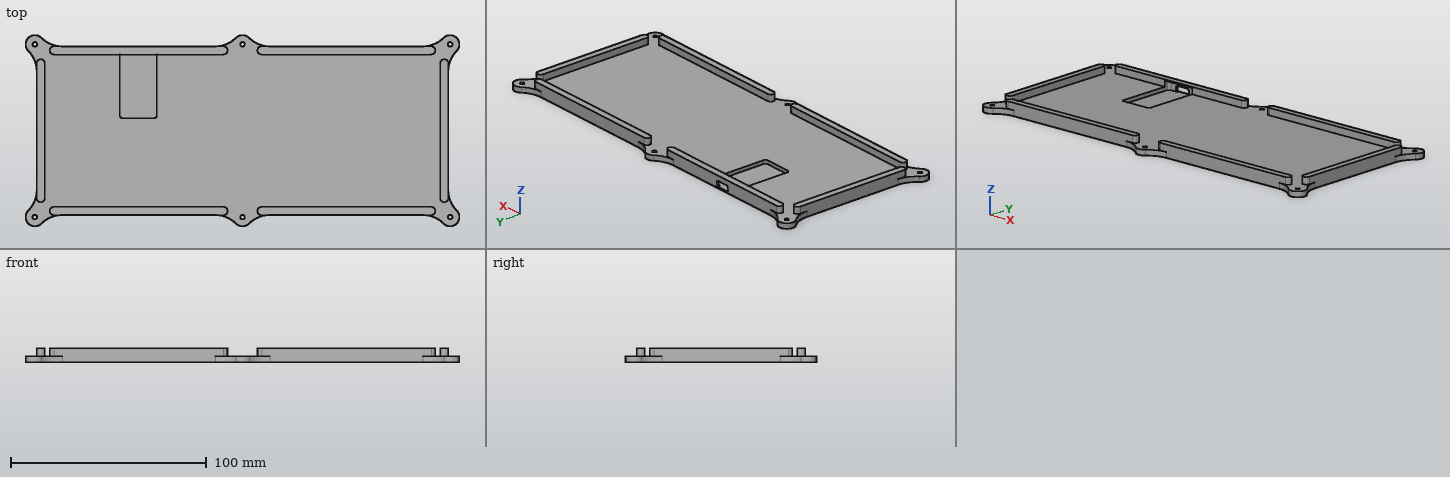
import cadquery as cq
import math

overall_length = 221.51
overall_width = 97.68
overall_height = 7.2

plate_length = 210.2
plate_width = 86.2
plate_thickness = 3.2

lug_radius = 4.75
lug_blend_radius = 15.0
screw_hole_diameter = 2.2

wall_thickness = 4.2
wall_gap = 7.6

pocket_width = 19.0
pocket_center_x = -53.2
pocket_front_y = 6.4
pocket_undercut = 3.0
pocket_floor_z = 1.0
pocket_corner_radius = 1.5
pocket_roof_thickness = 0.7

opening_width = 9.0
opening_height = 3.2
opening_corner_radius = 1.0

half_length = plate_length / 2
half_width = plate_width / 2
lug_x = overall_length / 2 - lug_radius
lug_y = overall_width / 2 - lug_radius
wall_height = overall_height - plate_thickness
wall_center_x = half_length - wall_thickness / 2
wall_center_y = half_width - wall_thickness / 2
pocket_rear_y = half_width - wall_thickness + pocket_undercut

lug_centers = [(column * lug_x, row * lug_y) for column in (-1, 0, 1) for row in (-1, 1)]


def lug_flare(center, along, outward, offset):
    """Concave web that blends a lug into a straight plate edge.

    along is the unit vector from the lug down the edge, outward is the edge's outward
    normal, and offset is how far the lug centre lies outside the edge.
    """
    lug_center = cq.Vector(*center)
    along = cq.Vector(*along)
    outward = cq.Vector(*outward)
    center_distance = lug_radius + lug_blend_radius
    run = math.sqrt(center_distance**2 - (lug_blend_radius - offset) ** 2)

    edge_foot = lug_center - outward * offset
    edge_end = edge_foot + along * run
    blend_center = edge_end + outward * lug_blend_radius
    lug_touch = lug_center + (blend_center - lug_center) * (lug_radius / center_distance)
    chord_middle = (edge_end + lug_touch) * 0.5
    arc_middle = blend_center + (chord_middle - blend_center).normalized() * lug_blend_radius

    return (
        cq.Workplane("XY")
        .moveTo(edge_foot.x, edge_foot.y)
        .lineTo(edge_end.x, edge_end.y)
        .threePointArc(arc_middle.toTuple()[:2], lug_touch.toTuple()[:2])
        .lineTo(lug_center.x, lug_center.y)
        .close()
        .extrude(plate_thickness)
    )


def base_plate():
    """Flat plate with its six blended lugs and their screw holes."""
    plate = cq.Workplane("XY").rect(plate_length, plate_width).extrude(plate_thickness)
    lugs = cq.Workplane("XY").pushPoints(lug_centers).circle(lug_radius).extrude(plate_thickness)
    plate = plate.union(lugs)

    for row in (-1, 1):
        for column in (-1, 1):
            corner = (column * lug_x, row * lug_y)
            middle = (0, row * lug_y)
            plate = plate.union(lug_flare(corner, (-column, 0), (0, row), lug_y - half_width))
            plate = plate.union(lug_flare(corner, (0, -row), (column, 0), lug_x - half_length))
            plate = plate.union(lug_flare(middle, (column, 0), (0, row), lug_y - half_width))

    screw_holes = (
        cq.Workplane("XY")
        .pushPoints(lug_centers)
        .circle(screw_hole_diameter / 2)
        .extrude(plate_thickness)
    )
    return plate.cut(screw_holes)


def walls():
    """Two wall segments along each long edge and one along each short edge."""
    long_edge_wall = lug_x - 2 * wall_gap
    short_edge_wall = 2 * (lug_y - wall_gap)
    long_centers = [(column * lug_x / 2, row * wall_center_y) for column in (-1, 1) for row in (-1, 1)]
    short_centers = [(column * wall_center_x, 0) for column in (-1, 1)]

    floor_plane = cq.Plane((0, 0, plate_thickness))
    long_walls = (
        cq.Workplane(floor_plane)
        .pushPoints(long_centers)
        .slot2D(long_edge_wall, wall_thickness)
        .extrude(wall_height)
    )
    short_walls = (
        cq.Workplane(floor_plane)
        .pushPoints(short_centers)
        .slot2D(short_edge_wall, wall_thickness, 90)
        .extrude(wall_height)
    )
    return long_walls.union(short_walls)


def connector_pocket():
    """Round-cornered cutter for the floor pocket and its undercut of the rear wall."""
    pocket_length = pocket_rear_y - pocket_front_y
    pocket_height = overall_height - pocket_roof_thickness - pocket_floor_z
    return (
        cq.Workplane("XY")
        .box(pocket_width, pocket_length, pocket_height, centered=(True, False, False))
        .edges("|Z")
        .fillet(pocket_corner_radius)
        .translate((pocket_center_x, pocket_front_y, pocket_floor_z))
    )


def connector_opening():
    """Round-cornered cutter through the rear wall and plate edge, open to the pocket."""
    return (
        cq.Workplane("XY")
        .box(opening_width, wall_thickness, opening_height, centered=(True, False, False))
        .edges("|Y")
        .fillet(opening_corner_radius)
        .translate((pocket_center_x, half_width - wall_thickness, pocket_floor_z))
    )


result = base_plate().union(walls()).cut(connector_pocket()).cut(connector_opening())